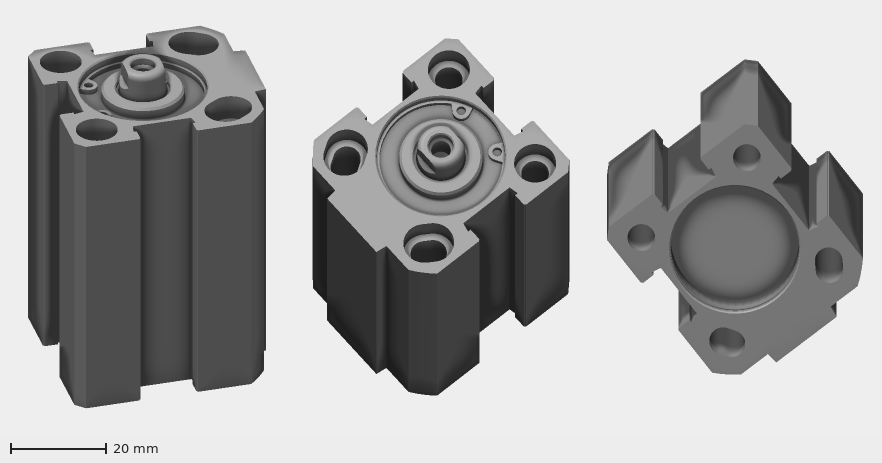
import cadquery as cq
import math


total_height = 70.0
rod_projection = 5.5
body_height = total_height - rod_projection
half_width = 20.0

top_shoulder_y = 22.0
tab_top_y = 24.5
tab_top_half_width = 8.0
tab_base_half_width = 8.3
upper_corner_radius = 26.9
lower_corner_chamfer = 2.0

slot_floor = 14.75
slot_lip_inner = 16.85
slot_mouth_half = 6.1
slot_mouth_fillet = 0.3
slot_undercut_half = 6.8
slot_floor_half = 6.35

mount_offset = 14.0
mount_hole_diameter = 5.8
mount_recess_diameter = 8.8
mount_recess_depth = 5.5
upper_slot_shift = (-1.0, 1.55)

bore_diameter = 25.0
seat_diameter = 27.0
seat_depth = 12.0
seat_chamfer = 0.3
groove_diameter = 29.2
groove_width = 1.3
groove_offset = 1.8

ring_outer_diameter = 28.4
ring_inner_diameter = 25.9
ring_thickness = 1.2
ring_top = body_height - groove_offset
ear_radius = 1.85
ear_hole_diameter = 2.0
ear_centre_radius = 11.9
ear_angle = 30.4
ear_outer_lean = 27.0
ear_gap_lean = 5.0
ring_turn = -1.5

gland_diameter = 26.9
gland_face = ring_top - ring_thickness
gland_bottom = body_height - seat_depth
boss_diameter = 17.5
boss_height = 2.8
boss_top = gland_face + boss_height
boss_chamfer = 0.5
boss_fillet = 0.45
gland_mouth_diameter = 12.0
wiper_seat_diameter = 11.4
wiper_lip_diameter = 10.48
wiper_lip_depth = 0.8
wiper_depth = 2.0

rod_diameter = 10.0
rod_end_radius = 1.35
flats_width = 8.0
flat_clearance = 1.9
flat_bottom = body_height + flat_clearance
flat_runout = (rod_diameter - flats_width) / 2
piston_bottom = seat_depth
piston_thickness = 10.0
thread_diameter = 4.13
thread_recess_diameter = 5.25
thread_mouth_diameter = 5.8
thread_recess_depth = 1.8
thread_depth = 8.0
drill_half_angle = math.radians(59)


def cylinder(diameter, bottom, top):
    return cq.Workplane("XY").workplane(offset=bottom).circle(diameter / 2).extrude(top - bottom)


def revolved(profile):
    """Turn a closed (radius, height) profile about the Z axis."""
    return cq.Workplane("XZ").polyline(profile).close().revolve(360, (0, 0, 0), (0, 1, 0))


def outline_blank():
    arc_side_y = math.sqrt(upper_corner_radius**2 - half_width**2)
    arc_top_x = math.sqrt(upper_corner_radius**2 - top_shoulder_y**2)
    arc_middle_angle = (math.atan2(arc_side_y, half_width) + math.atan2(top_shoulder_y, arc_top_x)) / 2
    arc_middle_x = upper_corner_radius * math.cos(arc_middle_angle)
    arc_middle_y = upper_corner_radius * math.sin(arc_middle_angle)
    right_half = (
        cq.Workplane("XY")
        .moveTo(0, -half_width)
        .lineTo(half_width - lower_corner_chamfer, -half_width)
        .lineTo(half_width, -half_width + lower_corner_chamfer)
        .lineTo(half_width, arc_side_y)
        .threePointArc((arc_middle_x, arc_middle_y), (arc_top_x, top_shoulder_y))
        .lineTo(tab_base_half_width, top_shoulder_y)
        .lineTo(tab_top_half_width, tab_top_y)
        .lineTo(0, tab_top_y)
    )
    return right_half.mirrorY().extrude(body_height)


def t_slot():
    """Cutter for the front slot, open toward -Y, with a rounded mouth."""
    mouth_y = -half_width + slot_mouth_fillet
    right_half = (
        cq.Workplane("XY")
        .moveTo(0, -half_width)
        .lineTo(slot_mouth_half + slot_mouth_fillet, -half_width)
        .radiusArc((slot_mouth_half, mouth_y), -slot_mouth_fillet)
        .lineTo(slot_mouth_half, -slot_lip_inner)
        .lineTo(slot_undercut_half, -slot_lip_inner)
        .lineTo(slot_floor_half, -slot_floor)
        .lineTo(0, -slot_floor)
    )
    return right_half.mirrorY().extrude(body_height)


def mount_cutter(diameter, bottom):
    """Round holes in the lower corners and short oblong holes in the upper corners."""
    height = body_height - bottom
    plane = cq.Workplane("XY").workplane(offset=bottom)
    cutter = plane.pushPoints([(-mount_offset, -mount_offset), (mount_offset, -mount_offset)])
    cutter = cutter.circle(diameter / 2).extrude(height)
    shift_x, shift_y = upper_slot_shift
    shift_length = math.hypot(shift_x, shift_y)
    shift_angle = math.degrees(math.atan2(shift_y, shift_x))
    oblong = (
        plane.center(mount_offset + shift_x / 2, mount_offset + shift_y / 2)
        .slot2D(shift_length + diameter, diameter, shift_angle)
        .extrude(height)
    )
    return cutter.union(oblong).union(oblong.mirror("YZ"))


def end_seat():
    """Seat, mouth chamfer and ring groove cut into the top end of the bore."""
    seat = cylinder(seat_diameter, body_height - seat_depth, body_height)
    groove = cylinder(groove_diameter, ring_top - groove_width, ring_top)
    seat_radius = seat_diameter / 2
    mouth = revolved([
        (0, body_height - seat_chamfer),
        (seat_radius, body_height - seat_chamfer),
        (seat_radius + seat_chamfer, body_height),
        (0, body_height),
    ])
    return seat.union(groove).union(mouth)


def make_housing():
    body = outline_blank()
    for angle in (-90, 0, 90):
        body = body.cut(t_slot().rotate((0, 0, 0), (0, 0, 1), angle))
    body = body.cut(mount_cutter(mount_hole_diameter, 0))
    body = body.cut(mount_cutter(mount_recess_diameter, body_height - mount_recess_depth))
    body = body.cut(cylinder(bore_diameter, 0, body_height))
    top_seat = end_seat()
    bottom_seat = top_seat.mirror("XY", (0, 0, body_height / 2))
    return body.cut(top_seat).cut(bottom_seat)


def make_gland():
    gland = cylinder(gland_diameter, gland_bottom, gland_face)
    gland = gland.union(cylinder(boss_diameter, gland_face, boss_top))
    boss_corner = cq.selectors.RadiusNthSelector(0)
    gland = gland.faces(">Z").edges(boss_corner).chamfer(boss_chamfer)
    foot = cq.selectors.BoxSelector(
        (-boss_diameter, -boss_diameter, gland_face - boss_fillet),
        (boss_diameter, boss_diameter, gland_face + boss_fillet),
    )
    gland = gland.edges(foot).edges(cq.selectors.RadiusNthSelector(0)).fillet(boss_fillet)
    mouth_chamfer = (gland_mouth_diameter - wiper_seat_diameter) / 2
    bore = revolved([
        (0, gland_bottom),
        (rod_diameter / 2, gland_bottom),
        (rod_diameter / 2, boss_top - wiper_depth),
        (wiper_lip_diameter / 2, boss_top - wiper_lip_depth),
        (wiper_seat_diameter / 2, boss_top - wiper_lip_depth),
        (wiper_seat_diameter / 2, boss_top - mouth_chamfer),
        (gland_mouth_diameter / 2, boss_top),
        (0, boss_top),
    ])
    return gland.cut(bore)


def ring_ear():
    """Ear pointing toward -Y, with two flanks widening out to the ring rim, and its hole."""
    plane = cq.Workplane("XY").workplane(offset=ring_top - ring_thickness)
    flank_lines = []
    for side, lean_degrees in ((-1, ear_gap_lean), (1, ear_outer_lean)):
        lean = math.radians(lean_degrees)
        touch_x = side * ear_radius * math.cos(lean)
        touch_y = -ear_centre_radius + ear_radius * math.sin(lean)
        rim_y = -ring_outer_diameter / 2
        rim_x = touch_x + side * (touch_y - rim_y) * math.tan(lean)
        flank_lines.append([(touch_x, touch_y), (rim_x, rim_y)])
    gap_flank, outer_flank = flank_lines
    flanks = plane.polyline(gap_flank + outer_flank[::-1]).close().extrude(ring_thickness)
    round_end = plane.center(0, -ear_centre_radius).circle(ear_radius).extrude(ring_thickness)
    hole = plane.center(0, -ear_centre_radius).circle(ear_hole_diameter / 2).extrude(ring_thickness)
    rim_disc = cylinder(ring_outer_diameter, ring_top - ring_thickness, ring_top)
    return round_end.union(flanks).intersect(rim_disc), hole


def make_retaining_ring():
    """Internal ring, open toward -Y, with a drilled ear at each end."""
    plane = cq.Workplane("XY").workplane(offset=ring_top - ring_thickness)
    ring = plane.circle(ring_outer_diameter / 2).circle(ring_inner_diameter / 2).extrude(ring_thickness)
    gap_half = ring_outer_diameter * math.tan(math.radians(ear_angle))
    gap_points = [(0, 0), (gap_half, -ring_outer_diameter), (-gap_half, -ring_outer_diameter)]
    ring = ring.cut(plane.polyline(gap_points).close().extrude(ring_thickness))
    ear, hole = (part.rotate((0, 0, 0), (0, 0, 1), ear_angle) for part in ring_ear())
    ring = ring.union(ear).union(ear.mirror("YZ"))
    ring = ring.cut(hole).cut(hole.mirror("YZ"))
    return ring.rotate((0, 0, 0), (0, 0, 1), ring_turn)


def flat_cutter():
    """Cutter for the flat facing -Y, with a 45 degree run-out at its lower end."""
    flat = flats_width / 2
    outside = flat + flat_runout
    profile = [
        (-flat, flat_bottom),
        (-outside, flat_bottom - flat_runout),
        (-outside, total_height),
        (-flat, total_height),
    ]
    return cq.Workplane("YZ").polyline(profile).close().extrude(rod_diameter / 2, both=True)


def thread_hole():
    core = thread_diameter / 2
    recess = thread_recess_diameter / 2
    mouth = thread_mouth_diameter / 2
    full_depth = total_height - thread_depth
    recess_floor = total_height - thread_recess_depth
    return revolved([
        (0, full_depth - core / math.tan(drill_half_angle)),
        (core, full_depth),
        (core, recess_floor - (recess - core)),
        (recess, recess_floor),
        (recess, total_height - (mouth - recess)),
        (mouth, total_height),
        (0, total_height),
    ])


def make_piston_rod():
    rod = cylinder(rod_diameter, piston_bottom, total_height).faces(">Z").edges().fillet(rod_end_radius)
    rod = rod.union(cylinder(bore_diameter, piston_bottom, piston_bottom + piston_thickness))
    front_flat = flat_cutter()
    rod = rod.cut(front_flat).cut(front_flat.mirror("XZ"))
    return rod.cut(thread_hole())


housing = make_housing()
gland = make_gland()
retaining_ring = make_retaining_ring()
piston_rod = make_piston_rod()

result = cq.Compound.makeCompound([
    housing.val(),
    gland.val(),
    retaining_ring.val(),
    piston_rod.val(),
])